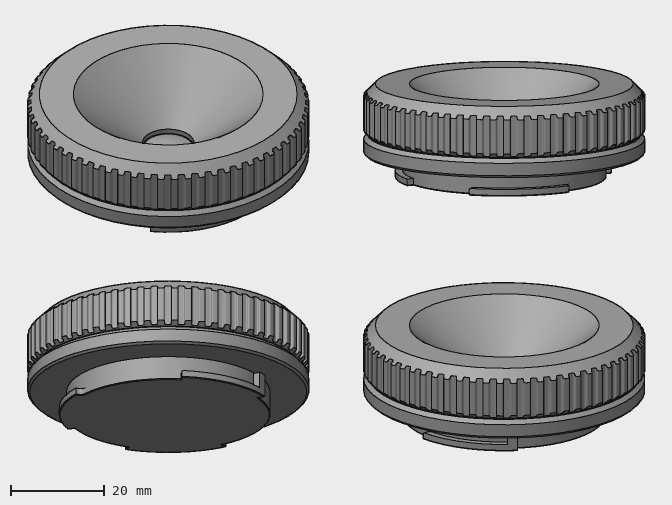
import cadquery as cq
import math

OUTER_R = 30.0
TOTAL_H = 20.2

BARREL_R = 21.7
RIM_BOTTOM_Z = 5.15
RIM_TOP_Z = 9.25
RIM_TOP_CHAMFER = 0.9
RIM_BOTTOM_CHAMFER = 0.5
FOOT_CHAMFER = 0.2
RECESS_FLOOR_Z = 6.0
BARREL_SEAM_ANGLE = 140.0

LUG_R = 23.3
LUG_H = 1.5
LUG_ROOT = 0.6
LUG_SPAN = 55.0
LUG_STARTS = [56.0, 176.0, 317.0]
LUG_NOSE_FILLET = 0.4
LUG_HEEL_FILLET = 1.2
HEEL_LUG_START = LUG_STARTS[0]
STOP_LUG_START = LUG_STARTS[1]
STOP_SPAN = 5.2
STOP_H = 5.0

GRIP_BOTTOM_Z = 9.4
GRIP_BOTTOM_CHAMFER = 0.95
GRIP_TOP_CHAMFER = 2.5
HUB_R = 22.6
DISH_TOP_R = 20.2
DISH_BOTTOM_Z = 7.9
BUTTON_HOLE_R = 11.0 / 2

GROOVE_COUNT = 64
GROOVE_DEPTH = 0.7
GROOVE_HALF_WIDTH = 0.7
GROOVE_FILLET = 0.3
GROOVE_CLEARANCE = 0.6

BUTTON_R = 5.3
BUTTON_EDGE_Z = 6.85
BUTTON_FLANGE_R = 12.8 / 2
BUTTON_TOP_Z = DISH_BOTTOM_Z


def polar(radius, degrees):
    """Point at the given radius and angle in the XY plane."""
    return (radius * math.cos(math.radians(degrees)), radius * math.sin(math.radians(degrees)))


def ring_sector(start, span, height):
    """Block from inside the barrel out to the lug radius, spanning an angle."""
    inner_r = BARREL_R - LUG_ROOT
    middle = start + span / 2
    end = start + span
    return (
        cq.Workplane("XY")
        .moveTo(*polar(inner_r, start))
        .lineTo(*polar(LUG_R, start))
        .threePointArc(polar(LUG_R, middle), polar(LUG_R, end))
        .lineTo(*polar(inner_r, end))
        .threePointArc(polar(inner_r, middle), polar(inner_r, start))
        .close()
        .extrude(height)
    )


def make_foot():
    """Barrel with the lugs and the stop post, chamfered all around the bottom."""
    foot = cq.Workplane("XY").circle(BARREL_R).extrude(RIM_BOTTOM_Z)
    foot = foot.rotate((0, 0, 0), (0, 0, 1), BARREL_SEAM_ANGLE)
    for start in LUG_STARTS:
        foot = foot.union(ring_sector(start, LUG_SPAN, LUG_H))
    foot = foot.union(ring_sector(STOP_LUG_START + LUG_SPAN - STOP_SPAN, STOP_SPAN, STOP_H))

    heel_x, heel_y = polar(BARREL_R, HEEL_LUG_START + LUG_SPAN)
    heel_edge = cq.selectors.NearestToPointSelector((heel_x, heel_y, LUG_H / 2))
    foot = foot.edges(heel_edge).fillet(LUG_HEEL_FILLET)

    foot = foot.faces("<Z").chamfer(FOOT_CHAMFER)
    for start in LUG_STARTS:
        nose_x, nose_y = polar((BARREL_R + LUG_R) / 2, start)
        nose_edge = cq.selectors.NearestToPointSelector((nose_x, nose_y, LUG_H))
        foot = foot.edges(nose_edge).fillet(LUG_NOSE_FILLET)
    return foot


def make_base():
    """Foot and rim in one, with a recess in the rim for the knob's hub."""
    rim = (
        cq.Workplane("XZ")
        .moveTo(0, RIM_BOTTOM_Z)
        .lineTo(OUTER_R - RIM_BOTTOM_CHAMFER, RIM_BOTTOM_Z)
        .lineTo(OUTER_R, RIM_BOTTOM_Z + RIM_BOTTOM_CHAMFER)
        .lineTo(OUTER_R, RIM_TOP_Z - RIM_TOP_CHAMFER)
        .lineTo(OUTER_R - RIM_TOP_CHAMFER, RIM_TOP_Z)
        .lineTo(HUB_R, RIM_TOP_Z)
        .lineTo(HUB_R, RECESS_FLOOR_Z)
        .lineTo(0, RECESS_FLOOR_Z)
        .close()
        .revolve(360, (0, 0, 0), (0, 1, 0))
    )
    return rim.union(make_foot())


def groove_cutter():
    """Vertical cutter for the groove on the +X side, with rounded floor corners and flared mouth."""
    diagonal = GROOVE_FILLET * (1 - math.sqrt(0.5))
    mouth_x = math.sqrt(OUTER_R**2 - (GROOVE_HALF_WIDTH + GROOVE_FILLET) ** 2)
    floor_x = OUTER_R - GROOVE_DEPTH
    floor_half = GROOVE_HALF_WIDTH - GROOVE_FILLET
    mouth_half = GROOVE_HALF_WIDTH + GROOVE_FILLET
    clear_x = OUTER_R + GROOVE_CLEARANCE
    return (
        cq.Workplane("XY")
        .workplane(offset=GRIP_BOTTOM_Z)
        .moveTo(clear_x, -mouth_half)
        .lineTo(mouth_x, -mouth_half)
        .threePointArc(
            (mouth_x - diagonal, -GROOVE_HALF_WIDTH - diagonal),
            (mouth_x - GROOVE_FILLET, -GROOVE_HALF_WIDTH),
        )
        .lineTo(floor_x + GROOVE_FILLET, -GROOVE_HALF_WIDTH)
        .threePointArc((floor_x + diagonal, -GROOVE_HALF_WIDTH + diagonal), (floor_x, -floor_half))
        .lineTo(floor_x, floor_half)
        .threePointArc(
            (floor_x + diagonal, GROOVE_HALF_WIDTH - diagonal),
            (floor_x + GROOVE_FILLET, GROOVE_HALF_WIDTH),
        )
        .lineTo(mouth_x - GROOVE_FILLET, GROOVE_HALF_WIDTH)
        .threePointArc((mouth_x - diagonal, GROOVE_HALF_WIDTH + diagonal), (mouth_x, mouth_half))
        .lineTo(clear_x, mouth_half)
        .close()
        .extrude(TOTAL_H - GRIP_BOTTOM_Z)
    )


def make_knob():
    """Knurled grip with a conical dish, a stepped hole for the button and a hub seated in the base."""
    knob = (
        cq.Workplane("XZ")
        .moveTo(BUTTON_HOLE_R, BUTTON_EDGE_Z)
        .lineTo(BUTTON_FLANGE_R, BUTTON_EDGE_Z)
        .lineTo(BUTTON_FLANGE_R, RECESS_FLOOR_Z)
        .lineTo(HUB_R, RECESS_FLOOR_Z)
        .lineTo(HUB_R, GRIP_BOTTOM_Z)
        .lineTo(OUTER_R - GRIP_BOTTOM_CHAMFER, GRIP_BOTTOM_Z)
        .lineTo(OUTER_R, GRIP_BOTTOM_Z + GRIP_BOTTOM_CHAMFER)
        .lineTo(OUTER_R, TOTAL_H - GRIP_TOP_CHAMFER)
        .lineTo(OUTER_R - GRIP_TOP_CHAMFER, TOTAL_H)
        .lineTo(DISH_TOP_R, TOTAL_H)
        .lineTo(BUTTON_HOLE_R, DISH_BOTTOM_Z)
        .close()
        .revolve(360, (0, 0, 0), (0, 1, 0))
    )
    cutter = groove_cutter().val()
    grooves = [
        cutter.rotate(cq.Vector(0, 0, 0), cq.Vector(0, 0, 1), i * 360 / GROOVE_COUNT)
        for i in range(GROOVE_COUNT)
    ]
    return cq.Workplane(knob.val().cut(*grooves))


def make_button():
    """Button with a spherical top, its flange held between the knob and the recess floor."""
    dome_h = BUTTON_TOP_Z - BUTTON_EDGE_Z
    dome_r = (BUTTON_R**2 + dome_h**2) / (2 * dome_h)
    half_angle = math.asin(BUTTON_R / dome_r) / 2
    dome_mid = (dome_r * math.sin(half_angle), BUTTON_TOP_Z - dome_r * (1 - math.cos(half_angle)))
    return (
        cq.Workplane("XZ")
        .moveTo(0, RECESS_FLOOR_Z)
        .lineTo(BUTTON_FLANGE_R, RECESS_FLOOR_Z)
        .lineTo(BUTTON_FLANGE_R, BUTTON_EDGE_Z)
        .lineTo(BUTTON_R, BUTTON_EDGE_Z)
        .threePointArc(dome_mid, (0, BUTTON_TOP_Z))
        .close()
        .revolve(360, (0, 0, 0), (0, 1, 0))
    )


base = make_base()
knob = make_knob()
button = make_button()

result = cq.Compound.makeCompound([base.val(), knob.val(), button.val()])